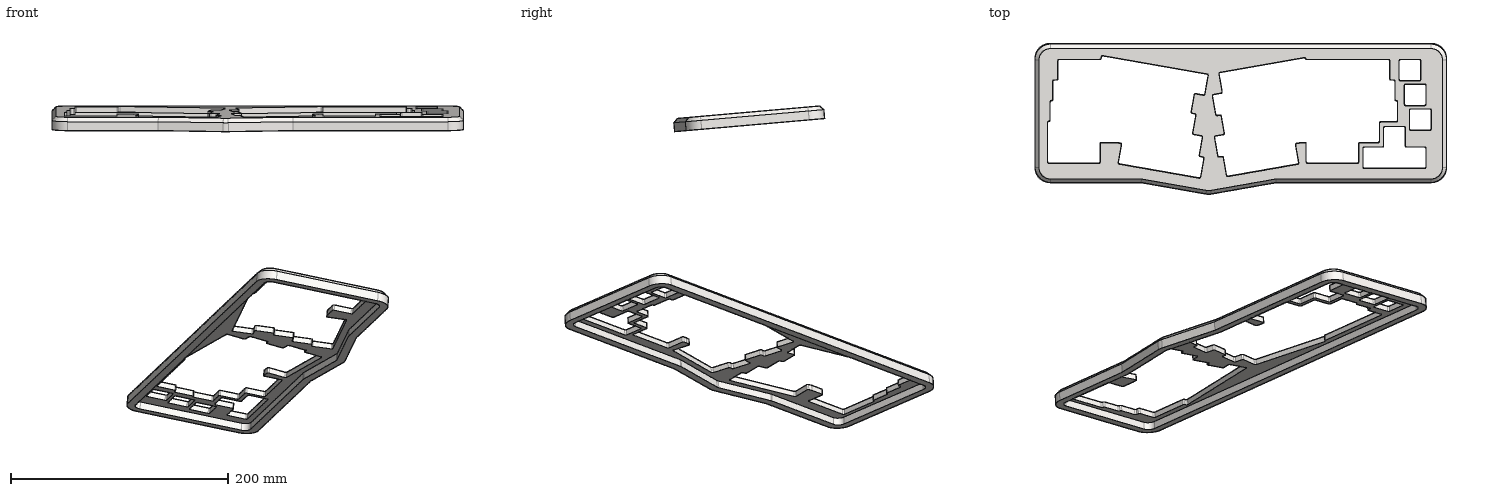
import cadquery as cq
import math

WIDTH = 379.0
BACK_Y = 69.5
FRONT_Y = -58.7
THICKNESS = 12.0
TILT = 5.0
CORNER_RADIUS = 14.5
EDGE_CHAMFER = 3.8

POINT_X = -29.5
POINT_HALF_WIDTH = 62.0
HAND_ANGLE = 10.0
POINT_DEPTH = POINT_HALF_WIDTH * math.tan(math.radians(HAND_ANGLE))

PLATE_THICKNESS = 5.3
RIM_WIDTH = 7.5
CAVITY_DEPTH = THICKNESS - PLATE_THICKNESS

ROW_COUNT = 5
KEY_FIELD_DEPTH = 95.0
KEY_PITCH = KEY_FIELD_DEPTH / ROW_COUNT
KEY_CLEARANCE = 0.5
OPENING_RADIUS = 1.25

BACK_MARGIN = 14.5
KEYS_BACK_Y = BACK_Y - BACK_MARGIN
LEFT_BLOCK = (-177.5, KEYS_BACK_Y)
RIGHT_BLOCK = (60.5, KEYS_BACK_Y)

LEFT_ANGLED_SETBACK = 13.5
RIGHT_ANGLED_SETBACK = 12.0
LEFT_ANGLED_BLOCK = (-30.5, KEYS_BACK_Y - LEFT_ANGLED_SETBACK)
RIGHT_ANGLED_BLOCK = (-19.7, KEYS_BACK_Y - RIGHT_ANGLED_SETBACK)

LEFT_ROWS = [(0.5, 3.25), (0.25, 3.5), (0.125, 3.5), (0, 3.5), (0, 2.5)]
LEFT_ANGLED_ROWS = [(-5.2, 0), (-4.5, -0.5), (-4.5, -0.25), (-4.25, 0.25), (-3.5, 0.5)]
RIGHT_ANGLED_ROWS = [(0, 4.2), (-0.5, 4), (-0.25, 3.75), (-0.75, 3.5), (-0.5, 3)]
RIGHT_ROWS = [(-0.25, 4), (-0.5, 4.25), (-0.5, 4.375), (-0.5, 3.5), (0, 2.5)]

SINGLE_KEY_COLUMNS = [4.5, 4.75, 5]
SINGLE_KEY_ROW_STEP = 1.2

ARROW_UP = (3.75, 4.75, 3.25)
ARROW_ROW = (2.75, 5.75, 4.25)


def outer_body():
    """Solid slab with rounded corners and a blunt front point."""
    half = WIDTH / 2
    points = [
        (-half, BACK_Y),
        (-half, FRONT_Y),
        (POINT_X - POINT_HALF_WIDTH, FRONT_Y),
        (POINT_X, FRONT_Y - POINT_DEPTH),
        (POINT_X + POINT_HALF_WIDTH, FRONT_Y),
        (half, FRONT_Y),
        (half, BACK_Y),
    ]
    slab = cq.Workplane("XY").polyline(points).close().extrude(THICKNESS)
    return slab.edges("|Z and (<X or >X or <Y)").fillet(CORNER_RADIUS)


def underside_cavity(body):
    """Cutter that hollows the body from below and leaves a rim of even width."""
    inner_outline = body.faces("<Z").wires().toPending().offset2D(-RIM_WIDTH)
    return inner_outline.extrude(CAVITY_DEPTH, combine=False)


def key_row(start, end, row):
    """Cutter for one row of keys, widened all round by the key clearance."""
    length = (end - start) * KEY_PITCH + 2 * KEY_CLEARANCE
    depth = KEY_PITCH + 2 * KEY_CLEARANCE
    middle_x = (start + end) / 2 * KEY_PITCH
    middle_y = -(row + 0.5) * KEY_PITCH
    return cq.Workplane("XY").center(middle_x, middle_y).rect(length, depth).extrude(THICKNESS)


def key_block(rows, corner, angle=0):
    """Cutter for a block of key rows, turned about its corner and moved into place."""
    block = cq.Workplane("XY")
    for row, (start, end) in enumerate(rows):
        block = block.union(key_row(start, end, row))
    return block.rotate((0, 0, 0), (0, 0, 1), angle).translate((*corner, 0))


def rounded(cutter):
    """The cutter with its corners rounded by growing, shrinking and regrowing its outline."""
    grown = cutter.clean().faces("<Z").wires().toPending().offset2D(OPENING_RADIUS)
    shrunk = grown.offset2D(-2 * OPENING_RADIUS)
    return shrunk.offset2D(OPENING_RADIUS).extrude(THICKNESS, combine=False)


def key_openings():
    """Cutters for both hands, the arrow keys and the single keys."""
    left_hand = key_block(LEFT_ROWS, LEFT_BLOCK).union(
        key_block(LEFT_ANGLED_ROWS, LEFT_ANGLED_BLOCK, -HAND_ANGLE)
    )
    right_hand = key_block(RIGHT_ROWS, RIGHT_BLOCK).union(
        key_block(RIGHT_ANGLED_ROWS, RIGHT_ANGLED_BLOCK, HAND_ANGLE)
    )
    right_corner = (*RIGHT_BLOCK, 0)
    arrows = key_row(*ARROW_UP).union(key_row(*ARROW_ROW)).translate(right_corner)
    openings = [left_hand, right_hand, arrows]
    for index, column in enumerate(SINGLE_KEY_COLUMNS):
        single_key = key_row(column, column + 1, index * SINGLE_KEY_ROW_STEP)
        openings.append(single_key.translate(right_corner))
    return [rounded(opening) for opening in openings]


body = outer_body()
frame = body.faces(">Z").chamfer(EDGE_CHAMFER).cut(underside_cavity(body))
for opening in key_openings():
    frame = frame.cut(opening)

result = frame.rotate((0, 0, 0), (1, 0, 0), TILT)